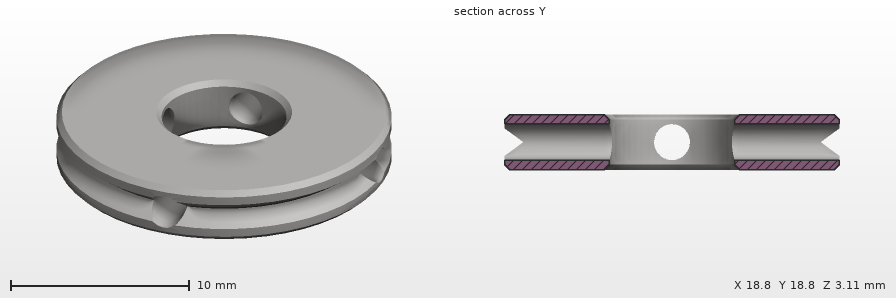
import cadquery as cq

outer_radius = 18.75 / 2
bore_radius = 7.0 / 2
half_thickness = 3.11 / 2
edge_chamfer = 0.3

half_groove_width = 1.52 / 2
groove_depth = 1.0

hole_radius = 2.0 / 2
hole_angles = (0, 90, 180, 270)

seam_angle = 45


def grooved_ring():
    """Revolved ring with four chamfered edges and the V groove in its rim."""
    chamfer_height = half_thickness - edge_chamfer
    upper_half = [
        (outer_radius, half_groove_width),
        (outer_radius, chamfer_height),
        (outer_radius - edge_chamfer, half_thickness),
        (bore_radius + edge_chamfer, half_thickness),
        (bore_radius, chamfer_height),
    ]
    lower_half = [(radius, -height) for radius, height in reversed(upper_half)]
    groove_bottom = (outer_radius - groove_depth, 0)
    profile = cq.Workplane("XZ").polyline([groove_bottom] + upper_half + lower_half).close()
    ring = profile.revolve(360, (0, 0, 0), (0, 1, 0))
    return ring.rotate((0, 0, 0), (0, 0, 1), seam_angle)


def radial_hole(angle):
    """Cylinder from the part axis out past the rim, at the given angle about Z."""
    drill_length = 1.2 * outer_radius
    start = cq.Workplane(cq.Plane(origin=(0, 0, 0), xDir=(0, 0, 1), normal=(1, 0, 0)))
    drill = start.circle(hole_radius).extrude(drill_length)
    return drill.rotate((0, 0, 0), (0, 0, 1), angle)


result = grooved_ring()
for hole_angle in hole_angles:
    result = result.cut(radial_hole(hole_angle))